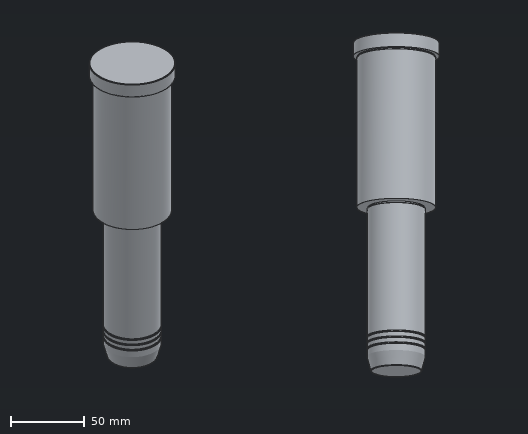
import cadquery as cq

total_length = 231.0
head_diameter = 59.0
head_height = 10.0
head_chamfer = 0.5
body_diameter = 54.0
body_bottom = 115.0
pin_diameter = 40.0

neck_width = 1.0
neck_depth = 0.5
relief_width = 1.2
relief_depth = 0.7

groove_width = 1.0
groove_depth = 0.7
groove_count = 3
groove_pitch = 4.2
lowest_groove_height = 15.5

nose_height = 10.0
tip_diameter = 34.9
tip_chamfer = 0.5

head_radius = head_diameter / 2
body_radius = body_diameter / 2
pin_radius = pin_diameter / 2
tip_radius = tip_diameter / 2
head_bottom = total_length - head_height


def ring(radius, depth, bottom, width):
    """Square-sided ring that cuts inward from the given radius."""
    outer = cq.Workplane("XY").workplane(offset=bottom).circle(radius + depth)
    return outer.circle(radius - depth).extrude(width)


def turned_blank():
    """Revolve the stepped half profile about Z."""
    profile = (
        cq.Workplane("XZ")
        .moveTo(0, 0)
        .lineTo(tip_radius - tip_chamfer, 0)
        .lineTo(tip_radius, tip_chamfer)
        .lineTo(pin_radius, nose_height)
        .lineTo(pin_radius, body_bottom)
        .lineTo(body_radius, body_bottom)
        .lineTo(body_radius, head_bottom)
        .lineTo(head_radius, head_bottom)
        .lineTo(head_radius, total_length - head_chamfer)
        .lineTo(head_radius - head_chamfer, total_length)
        .lineTo(0, total_length)
        .close()
    )
    return profile.revolve(360, (0, 0, 0), (0, 1, 0))


result = turned_blank()

result = result.cut(ring(body_radius, neck_depth, head_bottom - neck_width, neck_width))

result = result.cut(ring(pin_radius, relief_depth, body_bottom - relief_width, relief_width))

for index in range(groove_count):
    groove_middle = lowest_groove_height + index * groove_pitch
    groove_bottom = groove_middle - groove_width / 2
    result = result.cut(ring(pin_radius, groove_depth, groove_bottom, groove_width))